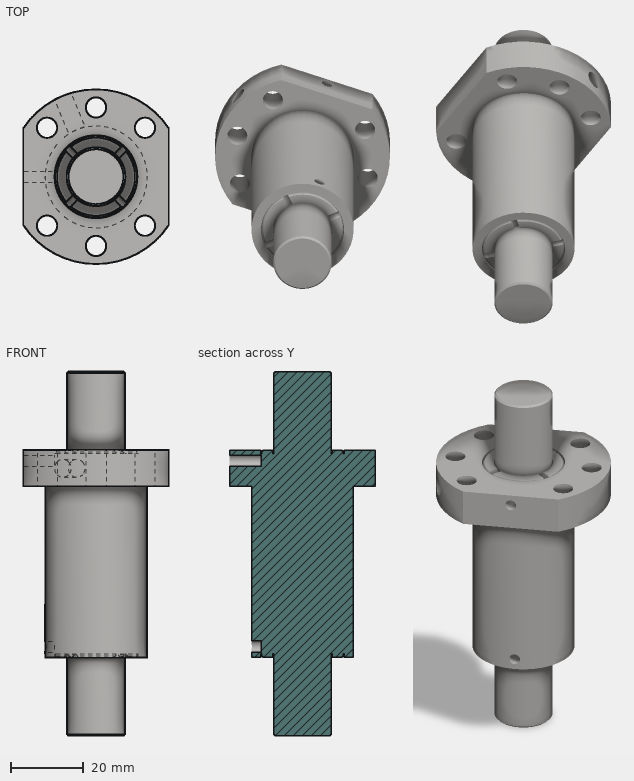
import cadquery as cq

shaft_length = 100
shaft_diameter = 16
shaft_chamfer = 0.5

nut_length = 57
nut_diameter = 28
flange_diameter = 48
flange_width = 40
flange_thickness = 10
nut_top = nut_length / 2
flange_bottom = nut_top - flange_thickness

bolt_hole_diameter = 5.5
bolt_circle_radius = 19
bolt_angles = (45, 90, 135, 225, 270, 315)

port_diameter = 4.9
port_angle = 112.5
port_depth = 10

recess_diameter = 22.8
wiper_diameter = 22.4
wiper_bore = 16.2
wiper_chamfer = 0.5
gap_depth = 1
slot_radius = 0.9
slot_angles = (45, 135)

pin_hole_diameter = 3
pin_hole_inset = 3


def cylinder(diameter, bottom, height):
    return cq.Workplane("XY").workplane(offset=bottom).circle(diameter / 2).extrude(height)


def radial_cylinder(diameter, inner, outer, angle, height):
    """Cylinder pointing away from the Z axis, between two distances from it."""
    rod = cylinder(diameter, inner, outer - inner).rotate((0, 0, 0), (0, 1, 0), 90)
    return rod.rotate((0, 0, 0), (0, 0, 1), angle).translate((0, 0, height))


def make_shaft():
    shaft = cylinder(shaft_diameter, -shaft_length / 2, shaft_length)
    return shaft.faces("<Z or >Z").chamfer(shaft_chamfer)


def make_flange():
    disc = cylinder(flange_diameter, flange_bottom, flange_thickness)
    flats = cq.Workplane("XY").box(flange_width, flange_diameter, shaft_length)
    flange = disc.intersect(flats)
    for angle in bolt_angles:
        hole = cylinder(bolt_hole_diameter, flange_bottom, flange_thickness)
        hole = hole.translate((bolt_circle_radius, 0, 0))
        flange = flange.cut(hole.rotate((0, 0, 0), (0, 0, 1), angle))
    return flange


def cut_upper_wiper(nut):
    """Leave a chamfered wiper ring with radial slots in the upper end of the nut."""
    gap_bottom = nut_top - gap_depth
    wiper = cylinder(wiper_diameter, gap_bottom, gap_depth).faces(">Z").edges().chamfer(wiper_chamfer)
    nut = nut.cut(cylinder(recess_diameter, gap_bottom, gap_depth).cut(wiper))
    nut = nut.cut(cylinder(wiper_bore, gap_bottom, gap_depth))
    recess_radius = recess_diameter / 2
    for angle in slot_angles:
        nut = nut.cut(radial_cylinder(2 * slot_radius, -recess_radius, recess_radius, angle, nut_top))
    return nut


def make_nut():
    nut = cylinder(nut_diameter, -nut_top, nut_length).union(make_flange())

    nut = cut_upper_wiper(nut)
    nut = cut_upper_wiper(nut.mirror("XY")).mirror("XY")

    for height in (nut_top - pin_hole_inset, pin_hole_inset - nut_top):
        nut = nut.cut(
            radial_cylinder(pin_hole_diameter, recess_diameter / 2, flange_diameter / 2, 180, height)
        )

    flange_radius = flange_diameter / 2
    port_height = flange_bottom + flange_thickness / 2
    return nut.cut(
        radial_cylinder(port_diameter, flange_radius - port_depth, flange_radius, port_angle, port_height)
    )


result = make_nut().union(make_shaft())